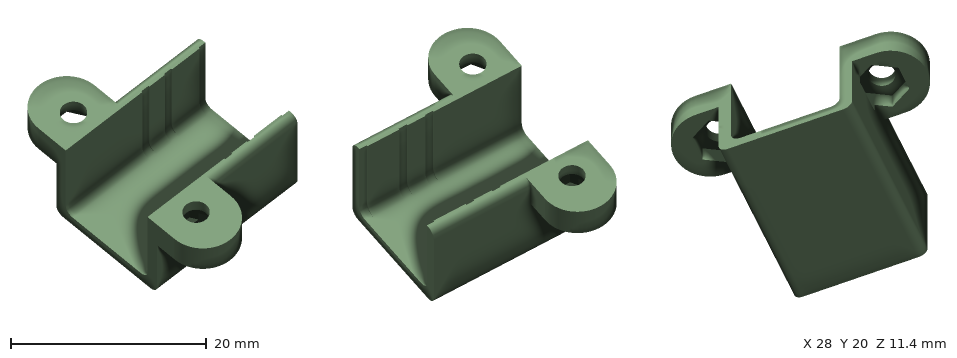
import cadquery as cq

total_width = 28.0
length = 20.0
height = 11.4

channel_width = 14.78
inner_width = 12.0
floor_thickness = 1.2
outer_radius = 1.0
inner_radius = 1.0

ear_width = 8.0
ear_thickness = 3.4
ear_radius = ear_width / 2
hole_spacing = 18.0
hole_diameter = 2.8

nut_across_flats = 4.9
nut_roof_depth = 1.4
nut_pocket_height = 3.0

groove_depth = 0.15
groove_width = 1.0
groove_distances = [0.0, 4.87, 8.1]
back_groove_width = 0.92


def block(width, depth, tall, y_start, z_start):
    """Box centred in X, starting at the given Y and Z."""
    box = cq.Workplane("XY").box(width, depth, tall, centered=(True, False, False))
    return box.translate((0, y_start, z_start))


def channel_cavity(width, depth, y_start):
    """Open-topped cutter with rounded bottom corners."""
    cutter = block(width, depth, height, y_start, floor_thickness)
    return cutter.edges("|Y and <Z").fillet(inner_radius)


def ears():
    """Bar with round ends that forms both ears once the channel is cut out."""
    return (
        cq.Workplane("XY", origin=(0, ear_radius, height - ear_thickness))
        .slot2D(total_width, ear_width)
        .extrude(ear_thickness)
    )


body = block(channel_width, length, height, 0, 0).edges("|Y").fillet(outer_radius)
body = body.union(ears())
body = body.cut(channel_cavity(inner_width, length, 0))

for distance in groove_distances:
    width = groove_width if distance > 0 else back_groove_width
    groove_start = length - distance - width
    body = body.cut(channel_cavity(inner_width + 2 * groove_depth, width, groove_start))

hole_centers = [(side * hole_spacing / 2, ear_radius) for side in (-1, 1)]

screw_holes = (
    cq.Workplane("XY", origin=(0, 0, height - ear_thickness))
    .pushPoints(hole_centers)
    .circle(hole_diameter / 2)
    .extrude(ear_thickness)
)

nut_pockets = (
    cq.Workplane("XY", origin=(0, 0, height - nut_roof_depth - nut_pocket_height))
    .pushPoints(hole_centers)
    .polygon(6, nut_across_flats, circumscribed=True)
    .extrude(nut_pocket_height)
)

result = body.cut(screw_holes).cut(nut_pockets)